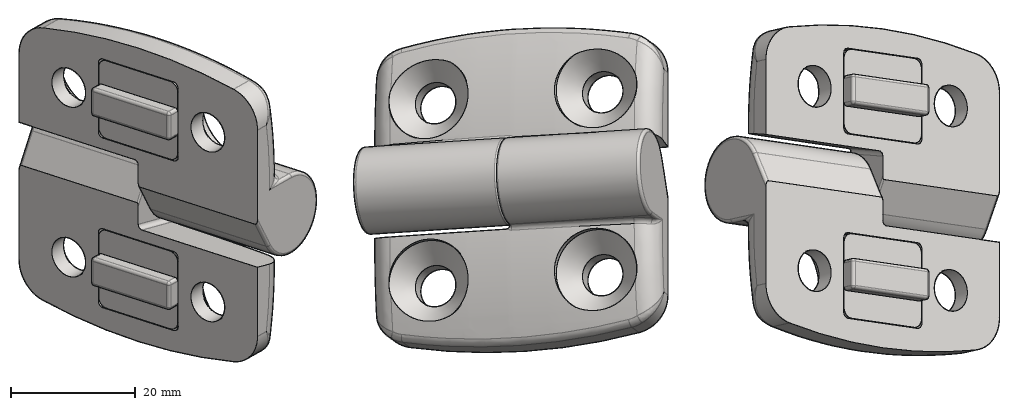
import cadquery as cq
import math


leaf_width = 48.0
half_width = leaf_width / 2
leaf_reach = 26.0
end_edge_radius = 99.85
corner_radius = 6.0
end_round = 1.35

dome_height = 7.95
dome_peak = 8.3
dome_radius = 65.0
crown_radius = 228.8
shoulder_radius = 3.9
skirt_depth = 10.4

axis_height = 9.0
knuckle_radius = 7.0
knuckle_toe = 1.45
outer_round = 0.5
inner_round = 0.25
root_round = 0.8

clearance_front = 6.05
clearance_back = 7.55
clearance_corner_radius = 0.8
plate_overlap = 0.85

hole_pitch = 28.0
hole_diameter = 6.75
head_diameter = 13.5
hole_offset = 15.05
hole_depth = 3.1

recess_width = 16.05
recess_length = 14.0
recess_depth = 3.0
recess_corner_radius = 1.0
insert_gap = 0.1
insert_corner_radius = 1.5
insert_width = recess_width - 2 * insert_gap
insert_length = recess_length - 2 * insert_gap
rib_length = 5.0
rib_height = 2.25
rib_round = 0.5


def plate_blank():
    """Plate outline with bowed end and rounded corners, as tall as the dome."""
    bow = end_edge_radius - math.sqrt(end_edge_radius**2 - half_width**2)
    top = plate_overlap - clearance_front
    return (
        cq.Workplane("XZ")
        .moveTo(-half_width, top)
        .lineTo(half_width, top)
        .lineTo(half_width, bow - leaf_reach)
        .threePointArc((0, -leaf_reach), (-half_width, bow - leaf_reach))
        .close()
        .extrude(-dome_height)
        .edges("|Y").edges("<Z")
        .fillet(corner_radius)
    )


def dome_envelope():
    """Ring with the crowned, round-shouldered section of the domed back."""
    crown_center = dome_height - crown_radius
    shoulder_x = half_width - shoulder_radius
    center_distance = crown_radius - shoulder_radius
    shoulder_y = crown_center + math.sqrt(center_distance**2 - shoulder_x**2)
    tangent_x = shoulder_x * crown_radius / center_distance
    tangent_y = crown_center + (shoulder_y - crown_center) * crown_radius / center_distance
    swing_axis = dome_height - dome_radius
    return (
        cq.Workplane("XY", origin=(0, 0, -dome_peak))
        .moveTo(-half_width, -skirt_depth)
        .lineTo(-half_width, shoulder_y)
        .tangentArcPoint((-tangent_x, tangent_y), relative=False)
        .threePointArc((0, dome_height), (tangent_x, tangent_y))
        .tangentArcPoint((half_width, shoulder_y), relative=False)
        .lineTo(half_width, -skirt_depth)
        .close()
        .revolve(360, (0, swing_axis), (1, swing_axis))
    )


def knuckle():
    """Round knuckle on the -X half, with a sloped face down to the mounting face."""
    toe_distance = math.hypot(axis_height, knuckle_toe)
    toe_angle = math.pi + math.atan2(knuckle_toe, axis_height)
    tangent_angle = toe_angle - math.acos(knuckle_radius / toe_distance)
    tangent_point = (
        axis_height + knuckle_radius * math.cos(tangent_angle),
        knuckle_radius * math.sin(tangent_angle),
    )
    return (
        cq.Workplane("YZ", origin=(-half_width, 0, 0))
        .moveTo(0, -knuckle_toe)
        .lineTo(*tangent_point)
        .threePointArc((axis_height + knuckle_radius, 0), (axis_height, -knuckle_radius))
        .lineTo(0, -knuckle_radius)
        .close()
        .extrude(half_width)
        .faces("<X").edges("%CIRCLE").fillet(outer_round)
        .faces(">X").edges("%CIRCLE").fillet(inner_round)
    )


def clearance_cut():
    """Space on the +X half for the knuckle of the other leaf."""
    slope = (clearance_back - clearance_front) / dome_height
    top = axis_height + knuckle_radius
    return (
        cq.Workplane("YZ")
        .moveTo(0, 0)
        .lineTo(0, -clearance_front)
        .lineTo(top, -clearance_front - slope * top)
        .lineTo(top, 0)
        .close()
        .extrude(half_width)
        .faces("<X").edges("<Z").fillet(clearance_corner_radius)
    )


def screw_hole():
    """Straight hole from the mounting face with a 90 degree countersink sunk below the dome."""
    hole_radius = hole_diameter / 2
    head_radius = head_diameter / 2
    sink_top = hole_depth + head_radius - hole_radius
    return (
        cq.Workplane("XY")
        .lineTo(hole_radius, 0)
        .lineTo(hole_radius, hole_depth)
        .lineTo(head_radius, sink_top)
        .lineTo(head_radius, dome_height)
        .lineTo(0, dome_height)
        .close()
        .revolve(360, (0, 0), (0, 1))
    )


def pad(width, length, radius):
    """Rounded block sunk behind the mounting face, midway between the screw holes."""
    return (
        cq.Workplane("XZ", origin=(0, 0, -hole_offset))
        .rect(width, length)
        .extrude(-recess_depth)
        .edges("|Y")
        .fillet(radius)
    )


def make_leaf():
    end_edges = cq.selectors.BoxSelector(
        (-half_width + corner_radius, hole_depth, -leaf_reach - 0.5),
        (half_width - corner_radius, dome_height, corner_radius - leaf_reach),
    )
    root_edges = cq.selectors.BoxSelector(
        (-half_width + shoulder_radius, hole_depth, -knuckle_radius - 0.5),
        (0, dome_height, -knuckle_radius + 0.5),
    )
    plate = plate_blank().intersect(dome_envelope())
    plate = plate.edges(end_edges).fillet(end_round)
    leaf = plate.union(knuckle())
    leaf = leaf.edges(root_edges).fillet(root_round)
    leaf = leaf.cut(clearance_cut())
    for x in (-hole_pitch / 2, hole_pitch / 2):
        leaf = leaf.cut(screw_hole().translate((x, 0, -hole_offset)))
    return leaf.cut(pad(recess_width, recess_length, recess_corner_radius))


def make_insert():
    """Flush pad with a rounded locating rib standing out of the mounting face."""
    rib = (
        cq.Workplane("XZ", origin=(0, 0, -hole_offset))
        .rect(insert_width, rib_length)
        .extrude(rib_height)
        .edges("|Y or <Y")
        .fillet(rib_round)
    )
    return pad(insert_width, insert_length, insert_corner_radius).union(rib)


leaves = []
inserts = []
for turn in (0, 180):
    leaves.append(make_leaf().rotate((0, 0, 0), (0, 1, 0), turn))
    inserts.append(make_insert().rotate((0, 0, 0), (0, 1, 0), turn))

result = cq.Compound.makeCompound([body.val() for body in leaves + inserts])